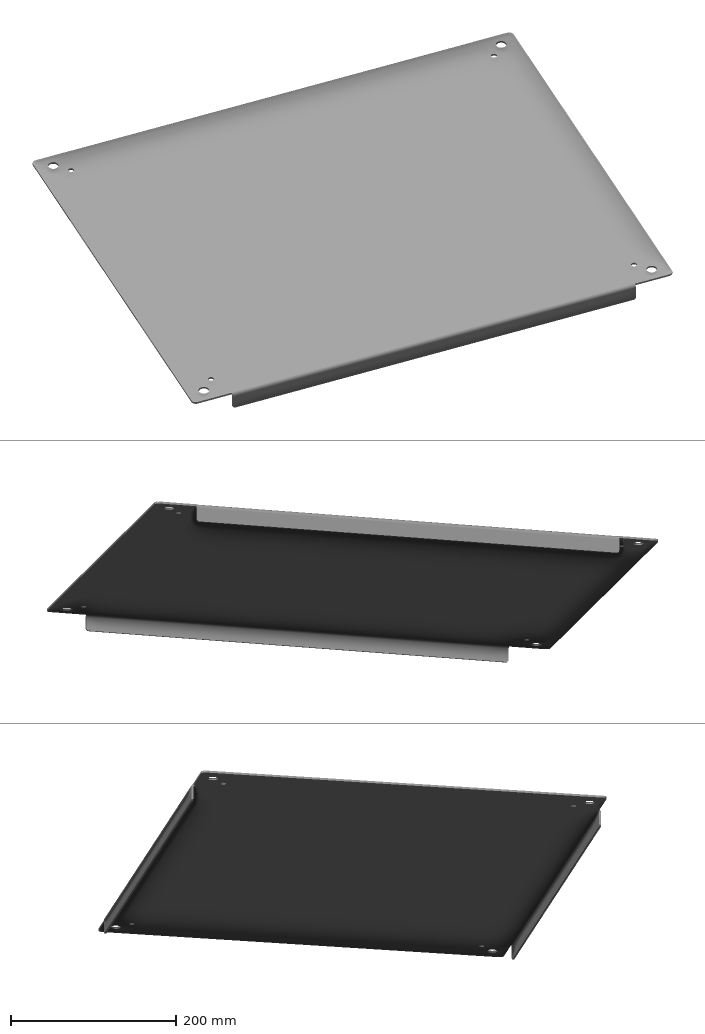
import cadquery as cq

overall_width = 506.0
panel_length = 632.0
overall_height = 22.0
sheet_thickness = 2.5

panel_width = 500.5
panel_corner_radius = 6.0

flange_length = 530.0
bend_outer_radius = 5.0
bend_inner_radius = bend_outer_radius - sheet_thickness
flange_corner_radius = 3.0

mounting_hole_diameter = 12.5
mounting_hole_x = 232.5
mounting_hole_y = 294.5
small_hole_diameter = 7.0
small_hole_x = 216.0
small_hole_y = 278.0

panel_bottom = overall_height - sheet_thickness


def make_folded_channel():
    """Flange-length middle part: a sheet with a rounded bend along each side."""
    inner_width = overall_width - 2 * sheet_thickness
    outer = (
        cq.Workplane("XY")
        .box(overall_width, flange_length, overall_height, centered=(True, True, False))
        .edges("|Y and >Z")
        .fillet(bend_outer_radius)
    )
    inner = (
        cq.Workplane("XY")
        .box(inner_width, flange_length, panel_bottom, centered=(True, True, False))
        .edges("|Y and >Z")
        .fillet(bend_inner_radius)
    )
    channel = outer.cut(inner)
    return channel.edges("|X and <Z").fillet(flange_corner_radius)


def make_end_panel(side):
    """Flat panel end beyond the flanges, with rounded corners."""
    end_length = (panel_length - flange_length) / 2
    center_y = side * (flange_length + end_length) / 2
    outer_side = ">Y" if side > 0 else "<Y"
    return (
        cq.Workplane("XY", origin=(0, center_y, panel_bottom))
        .box(panel_width, end_length, sheet_thickness, centered=(True, True, False))
        .edges("|Z and " + outer_side)
        .fillet(panel_corner_radius)
    )


def make_corner_holes(diameter, x, y):
    """Four through-hole cutters placed symmetrically about the panel centre."""
    return (
        cq.Workplane("XY")
        .rect(2 * x, 2 * y, forConstruction=True)
        .vertices()
        .circle(diameter / 2)
        .extrude(overall_height)
    )


result = make_folded_channel()
for end_side in (-1, 1):
    result = result.union(make_end_panel(end_side))
result = result.cut(make_corner_holes(mounting_hole_diameter, mounting_hole_x, mounting_hole_y))
result = result.cut(make_corner_holes(small_hole_diameter, small_hole_x, small_hole_y))